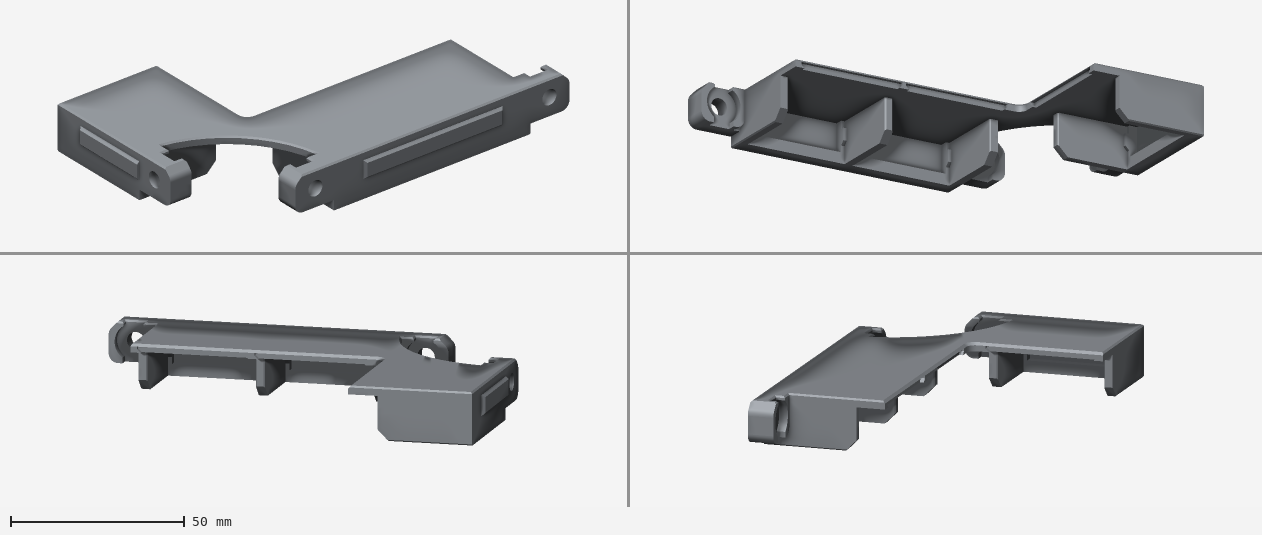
import cadquery as cq

HEIGHT = 15.7
PLATE_THICKNESS = 2.5
PLATE_BOTTOM = HEIGHT - PLATE_THICKNESS

ARM_FACE_X = 77.5
LEG_FACE_Y = 0.9
ARM_START_Y = 40.7

WALL_DEPTH = 5.1
EAR_DEPTH = 7.8
RIB_DEPTH = 28.2
PLATE_DEPTH = 36.9

RIB_WIDTH = 2.7
BAY_PITCH = 35.0
ARM_BAYS = 2
LEG_BAYS = 1
RIB_CHAMFER = 3.3
RIM_CHAMFER = 0.4

POCKET_MARGIN = 1.1
POCKET_DEPTH = 2.5
POCKET_BOTTOM = 3.5
BUMP_REACH = 1.3
BUMP_BOTTOM = 5.5
BUMP_TOP = 10.6

LIP_BOTTOM = 14.9
RECESS_DEPTH = 1.3
RECESS_INSET = 0.3
RECESS_FLARE = 1.0

EAR_LENGTH = 14.3
EAR_BOTTOM = 3.5
EAR_CHAMFER = 2.8
EAR_RADIUS = 2.8
HOLE_DIAMETER = 5.2
HOLE_Z = 9.7
COUNTERBORE_DIAMETER = 11.2
PLATE_SLOT_WIDTH = 5.9
LOWER_SLOT_WIDTH = 6.5
HOLE_OFFSET = 6.9

EDGE_CHAMFER = 0.5
FREE_EDGE_CHAMFER = 0.8
INNER_CORNER_RADIUS = 2.5
CUTOUT_RADIUS = 38.7
CUTOUT_INSET = 0.3

BAR_HEIGHT = 6.1
BAR_BOTTOM = HOLE_Z - BAR_HEIGHT / 2
BAR_TOP = HOLE_Z + BAR_HEIGHT / 2
BAR_BEVEL = 0.8
BAR_REACH = LEG_FACE_Y
ARM_BAR_START = 10.8
ARM_BAR_LENGTH = 51.3
LEG_BAR_START = 10.7

OVERCUT = 1.3


def side_length(bays):
    return bays * BAY_PITCH + RIB_WIDTH


ARM_LENGTH = side_length(ARM_BAYS)
LEG_LENGTH = side_length(LEG_BAYS)


def block(u_range, d_range, z_range):
    """Box from its extents along the wall, inwards from its outer face, and in height."""
    (u0, u1), (d0, d1), (z0, z1) = u_range, d_range, z_range
    return cq.Workplane("XY").box(u1 - u0, d1 - d0, z1 - z0, centered=False).translate((u0, d0, z0))


def on_leg(shape):
    """Move a shape built along X from the origin to the leg wall."""
    return shape.translate((0, LEG_FACE_Y, 0))


def on_arm(shape):
    """Turn and move a shape built along X from the origin to the arm wall."""
    return shape.rotate((0, 0, 0), (0, 0, 1), 90).translate((ARM_FACE_X, ARM_START_Y, 0))


EARS = [
    (on_arm, 0, -EAR_LENGTH),
    (on_arm, ARM_LENGTH, ARM_LENGTH + EAR_LENGTH),
    (on_leg, LEG_LENGTH, LEG_LENGTH + EAR_LENGTH),
]
SCREWS = [
    (on_arm, -HOLE_OFFSET),
    (on_arm, ARM_LENGTH + HOLE_OFFSET),
    (on_leg, LEG_LENGTH + HOLE_OFFSET),
]



def plate():
    leg_ear_end = LEG_LENGTH + EAR_LENGTH
    arm_low_end = ARM_START_Y - EAR_LENGTH
    arm_top = ARM_START_Y + ARM_LENGTH
    arm_high_end = arm_top + EAR_LENGTH
    arm_ear_x = ARM_FACE_X - EAR_DEPTH
    leg_ear_y = LEG_FACE_Y + EAR_DEPTH
    arm_edge_x = ARM_FACE_X - PLATE_DEPTH
    leg_edge_y = LEG_FACE_Y + PLATE_DEPTH
    body = (
        cq.Workplane("XY", origin=(0, 0, PLATE_BOTTOM))
        .moveTo(0, LEG_FACE_Y)
        .lineTo(leg_ear_end, LEG_FACE_Y)
        .lineTo(leg_ear_end, leg_ear_y)
        .lineTo(LEG_LENGTH + CUTOUT_INSET, leg_ear_y)
        .radiusArc((arm_ear_x, ARM_START_Y - CUTOUT_INSET), CUTOUT_RADIUS)
        .lineTo(arm_ear_x, arm_low_end)
        .lineTo(ARM_FACE_X, arm_low_end)
        .lineTo(ARM_FACE_X, arm_high_end)
        .lineTo(arm_ear_x, arm_high_end)
        .lineTo(arm_ear_x, arm_top)
        .lineTo(arm_edge_x, arm_top)
        .lineTo(arm_edge_x, leg_edge_y + INNER_CORNER_RADIUS)
        .radiusArc((arm_edge_x - INNER_CORNER_RADIUS, leg_edge_y), INNER_CORNER_RADIUS)
        .lineTo(0, leg_edge_y)
        .close()
        .extrude(PLATE_THICKNESS)
    )
    for place, hole_u in SCREWS:
        body = body.cut(place(ear_slot(hole_u, PLATE_SLOT_WIDTH, (PLATE_BOTTOM, HEIGHT))))
    free_side = cq.selectors.BoxSelector(
        (OVERCUT, leg_edge_y - OVERCUT, PLATE_BOTTOM),
        (arm_edge_x + OVERCUT, arm_top - OVERCUT, HEIGHT + OVERCUT),
    )
    body = body.faces(">Z").edges(free_side).chamfer(FREE_EDGE_CHAMFER)
    other_edges = cq.selectors.InverseSelector(free_side)
    return body.faces(">Z").edges(other_edges).chamfer(EDGE_CHAMFER)



def rib(u_start, bevel_start, bevel_end):
    """Rib with its free upright edges bevelled on the sides that face a bay."""
    profile = [
        (0, 0),
        (RIB_DEPTH - RIB_CHAMFER, 0),
        (RIB_DEPTH, RIB_CHAMFER),
        (RIB_DEPTH, PLATE_BOTTOM),
        (0, PLATE_BOTTOM),
    ]
    body = cq.Workplane("YZ", origin=(u_start, 0, 0)).polyline(profile).close().extrude(RIB_WIDTH)
    free_edges = body.faces(">Y").edges("|Z")
    if not bevel_start:
        free_edges = body.faces(">Y").edges("|Z and >X")
    if not bevel_end:
        free_edges = body.faces(">Y").edges("|Z and <X")
    return free_edges.chamfer(RIM_CHAMFER)


def snap_bump(u_start):
    profile = [
        (WALL_DEPTH, BUMP_BOTTOM),
        (WALL_DEPTH + BUMP_REACH, BUMP_BOTTOM + BUMP_REACH),
        (WALL_DEPTH + BUMP_REACH, BUMP_TOP),
        (WALL_DEPTH, BUMP_TOP),
    ]
    return cq.Workplane("YZ", origin=(u_start, 0, 0)).polyline(profile).close().extrude(POCKET_MARGIN)


def framed_wall(bays):
    """Wall with a rib at every bay boundary, and a pocket and two snap bumps in each bay."""
    frame = block((0, side_length(bays)), (0, WALL_DEPTH), (0, PLATE_BOTTOM))
    for index in range(bays + 1):
        frame = frame.union(rib(index * BAY_PITCH, index > 0, index < bays))
    for index in range(bays):
        bay_start = index * BAY_PITCH + RIB_WIDTH
        pocket_start = bay_start + POCKET_MARGIN
        pocket_end = (index + 1) * BAY_PITCH - POCKET_MARGIN
        pocket = block(
            (pocket_start, pocket_end),
            (WALL_DEPTH - POCKET_DEPTH, WALL_DEPTH),
            (POCKET_BOTTOM, PLATE_BOTTOM),
        )
        frame = frame.cut(pocket).union(snap_bump(bay_start)).union(snap_bump(pocket_end))
    return frame


def lip_recess(bay_index):
    """Trapezoidal recess that leaves a thin lip along the free edge of the plate."""
    start = bay_index * BAY_PITCH + RIB_WIDTH + RECESS_INSET
    end = (bay_index + 1) * BAY_PITCH - RECESS_INSET
    profile = [
        (start, PLATE_BOTTOM),
        (end, PLATE_BOTTOM),
        (end + RECESS_FLARE, PLATE_BOTTOM + RECESS_FLARE),
        (end + RECESS_FLARE, LIP_BOTTOM),
        (start - RECESS_FLARE, LIP_BOTTOM),
        (start - RECESS_FLARE, PLATE_BOTTOM + RECESS_FLARE),
    ]
    edge = cq.Workplane("XZ", origin=(0, PLATE_DEPTH, 0))
    return edge.polyline(profile).close().extrude(RECESS_DEPTH)



def ear_slot(hole_u, width, z_range):
    """Vertical slot reaching inwards from the counterbore floor."""
    return block((hole_u - width / 2, hole_u + width / 2), (WALL_DEPTH, EAR_DEPTH + OVERCUT), z_range)


def screw_cut(hole_u):
    face = cq.Workplane("XZ", origin=(hole_u, 0, HOLE_Z))
    hole = face.circle(HOLE_DIAMETER / 2).extrude(-EAR_DEPTH)
    counterbore = face.workplane(offset=-WALL_DEPTH).circle(COUNTERBORE_DIAMETER / 2)
    lower_slot = ear_slot(hole_u, LOWER_SLOT_WIDTH, (EAR_BOTTOM, HOLE_Z))
    upper_slot = ear_slot(hole_u, PLATE_SLOT_WIDTH, (HOLE_Z, HEIGHT))
    cut = hole.union(counterbore.extrude(-(EAR_DEPTH - WALL_DEPTH)))
    return cut.union(lower_slot).union(upper_slot)


def ear(root_u, end_u):
    u_range = (min(root_u, end_u), max(root_u, end_u))
    wall = block(u_range, (0, WALL_DEPTH), (EAR_BOTTOM, PLATE_BOTTOM))
    boss = block(u_range, (WALL_DEPTH, EAR_DEPTH), (EAR_BOTTOM, PLATE_BOTTOM))
    return wall.union(boss.faces("<Z").edges("|Y").fillet(EAR_RADIUS))


def ear_end_trim(root_u, end_u):
    """Stock outside the chamfered and rounded end of an ear."""
    u_range = (min(root_u, end_u), max(root_u, end_u))
    d_range = (0, EAR_DEPTH)
    z_range = (EAR_BOTTOM, HEIGHT)
    end_face = ">X" if end_u > root_u else "<X"
    rounded = (
        block(u_range, d_range, z_range)
        .faces(end_face).edges(">Z").chamfer(EAR_CHAMFER)
        .faces(end_face).edges("|Y").fillet(EAR_RADIUS)
    )
    return block(u_range, d_range, z_range).cut(rounded)



def bar(start, end, bevel_end):
    """Bar on the outer wall face, bevelled along its top, bottom and start, optionally its end."""
    body = block((start, end), (-BAR_REACH, 0), (BAR_BOTTOM, BAR_TOP))
    rim = body.faces("<Y").edges()
    if not bevel_end:
        rim = body.faces("<Y").edges("not >X")
    return rim.chamfer(BAR_BEVEL)



leg_frame = framed_wall(LEG_BAYS).faces("<X").edges("<Z").chamfer(RIM_CHAMFER)
arm_frame = framed_wall(ARM_BAYS).faces(">X").edges("<Z").chamfer(RIM_CHAMFER)
result = plate().union(on_leg(leg_frame)).union(on_arm(arm_frame))

for place, root, end in EARS:
    result = result.union(place(ear(root, end))).cut(place(ear_end_trim(root, end)))
for place, hole_u in SCREWS:
    result = result.cut(place(screw_cut(hole_u)))

for place, bays in ((on_leg, LEG_BAYS), (on_arm, ARM_BAYS)):
    for index in range(bays):
        result = result.cut(place(lip_recess(index)))

arm_bar = bar(ARM_BAR_START, ARM_BAR_START + ARM_BAR_LENGTH, True)
leg_bar = bar(LEG_BAR_START, LEG_LENGTH, False)
result = result.union(on_arm(arm_bar)).union(on_leg(leg_bar))